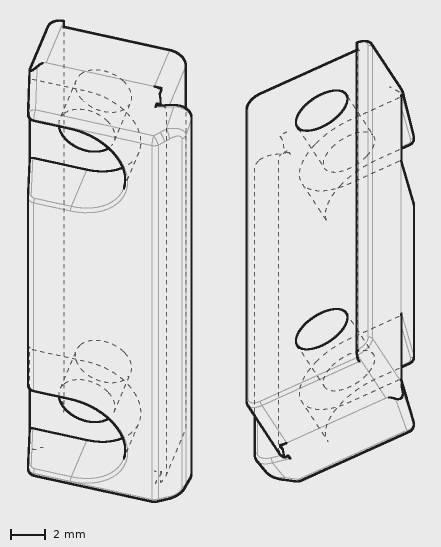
import cadquery as cq
import math

length = 32.0
width = 10.0
depth = 7.0
body_width = 8.5
lip_height = 0.45
lip_crest_width = 0.95
lip_base_width = 1.12
taper_depth = 3.4
taper_angle = math.radians(15)
corner_radius = 1.0
front_radius = 0.48
rim_radius = 0.2
front_edge_x = 8.6
hook_root_y = 2.53
hook_undercut = 0.55
screw_spacing = 22.5
screw_x = 3.5
hole_diameter = 3.4
pocket_radius = 3.25
pocket_depth = 3.25

back_y = depth - lip_height
taper_slope = math.tan(taper_angle)
taper_inset = taper_depth * taper_slope
hook_tip_y = hook_root_y + (width - body_width) * taper_slope
hook_inner_x = body_width - hook_undercut
hook_inner_y = hook_root_y - hook_undercut * taper_slope
overlap = 0.32


def extrude_profile(points):
    """Extrude an XY outline over the full length."""
    return cq.Workplane("XY").polyline(points).close().extrude(length)


def rounded_bar(bar_width, start_y, end_y):
    """Full-length bar with corners rounded about Y."""
    return (
        cq.Workplane("XY")
        .box(bar_width, end_y - start_y, length, centered=False)
        .translate((0, start_y, 0))
        .edges("|Y")
        .fillet(corner_radius)
    )


def make_tapered_front():
    """Front block with leaning left side and ends, and a 45 degree hook underside."""
    block = extrude_profile([
        (taper_inset, 0),
        (front_edge_x, 0),
        (width, width - front_edge_x),
        (width, taper_depth),
        (0, taper_depth),
    ])
    end_taper = (
        cq.Workplane("YZ")
        .polyline([
            (0, taper_inset),
            (taper_depth, 0),
            (taper_depth, length),
            (0, length - taper_inset),
        ])
        .close()
        .extrude(width)
    )
    block = block.intersect(end_taper)
    block = block.faces(">X").edges("not(|Z)").fillet(corner_radius)
    underside = cq.DirectionMinMaxSelector(cq.Vector(1, -1, 0))
    rounded_edges = block.faces("<Y").edges()
    rounded_edges = rounded_edges.add(block.faces("<X").edges("not(>Y)"))
    rounded_edges = rounded_edges.add(block.faces(underside).edges("not(<X)"))
    return block.newObject(rounded_edges.vals()).fillet(front_radius)


def make_hook_part(block):
    """Front block cut down to the sloping upper side of the hook, with a rounded rim."""
    above_hook = extrude_profile([
        (hook_inner_x, hook_inner_y),
        (width, hook_tip_y),
        (width, depth),
        (hook_inner_x, depth),
    ])
    hook = block.cut(above_hook)
    rim_zone = cq.selectors.BoxSelector(
        (hook_inner_x + overlap, hook_inner_y, -overlap),
        (width + overlap, taper_depth, length + overlap),
    )
    return hook.edges(rim_zone).edges("not(|Y)").fillet(rim_radius)


def make_rear():
    """Rear body with a lip along its left side."""
    body = rounded_bar(body_width, taper_depth, back_y).faces(">Y").edges().fillet(rim_radius)
    lip = extrude_profile([
        (0, taper_depth),
        (lip_base_width, taper_depth),
        (lip_base_width, back_y),
        (lip_crest_width, depth),
        (0, depth),
    ])
    lip = lip.faces(">Y").edges(">X").fillet(rim_radius)
    lip_bar = rounded_bar(body_width, taper_depth, depth).faces(">Y").edges().fillet(rim_radius)
    return body.union(lip.intersect(lip_bar))


def make_pocket(center_z):
    """Cutter for a round-ended pocket open to the left."""
    open_end = -screw_x - overlap
    return (
        cq.Workplane("XZ", origin=(screw_x, 0, center_z))
        .moveTo(0, pocket_radius)
        .threePointArc((pocket_radius, 0), (0, -pocket_radius))
        .lineTo(open_end, -pocket_radius)
        .lineTo(open_end, pocket_radius)
        .close()
        .extrude(-pocket_depth)
    )


def make_hole(center_z):
    """Cutter for a screw hole through the pocket floor."""
    return (
        cq.Workplane("XZ", origin=(screw_x, 0, center_z))
        .circle(hole_diameter / 2)
        .extrude(-depth)
    )


def cut_pocket(block, center_z):
    """Cut one pocket through the front block and round its front rim."""
    block = block.cut(make_pocket(center_z))
    reach = pocket_radius + rim_radius / 2
    rim_zone = cq.selectors.BoxSelector(
        (-overlap, -overlap, center_z - reach),
        (screw_x + reach, taper_depth - overlap, center_z + reach),
    )
    return block.edges(rim_zone).edges("not(|Y)").fillet(rim_radius)


screw_heights = [length / 2 + side * screw_spacing / 2 for side in (-1, 1)]

tapered_front = make_tapered_front()
left_corners = rounded_bar(2 * width, 0, taper_depth)
front = make_hook_part(tapered_front).intersect(left_corners)
front = front.union(tapered_front.intersect(rounded_bar(body_width, hook_inner_y, taper_depth)))
for screw_z in screw_heights:
    front = cut_pocket(front, screw_z)

result = front.union(make_rear())
for screw_z in screw_heights:
    result = result.cut(make_hole(screw_z))